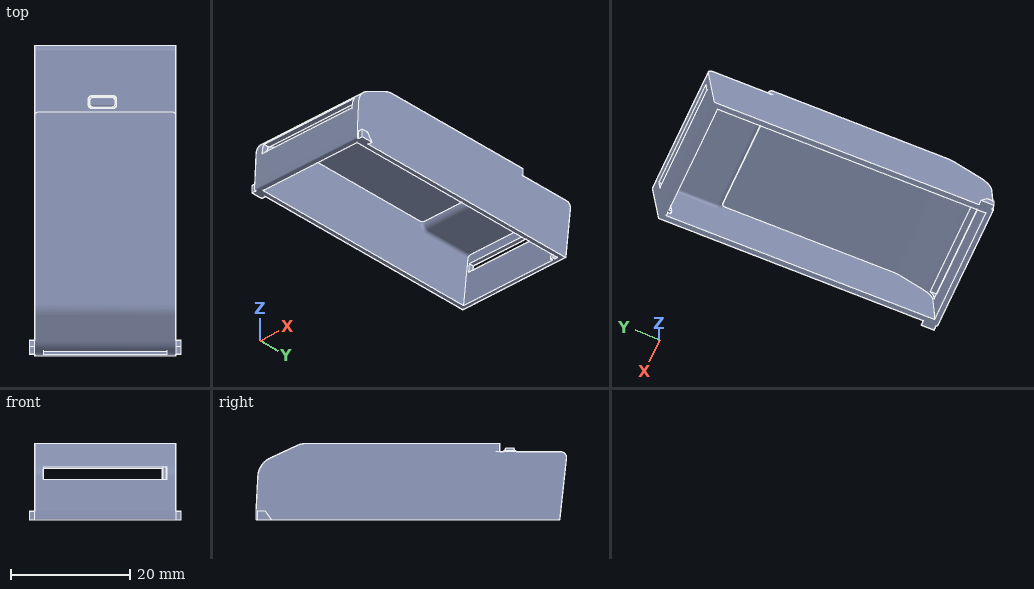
import cadquery as cq
import math

length = 52.15
width = 23.7
height = 12.9
wall = 1.0
embed = wall / 2
front_y = -length / 2
back_y = length / 2

skirt_height = 1.5
front_lean = 3.0
hood_angle = 25.0
hood_start_y = -18.4
hood_top_radius = 4.0
hood_nose_radius = 3.65

deck_height = 11.45
step_y = 14.85
step_corner_radius = 0.6
back_lean = 6.2
back_edge_radius = 1.0
bottom_edge_radius = 0.2

slot_half_width = 10.4
slot_bottom = 6.85
slot_top = 8.9
window_right_x = 9.55
window_top = 8.6

rib_left_x = 9.7
rib_right_x = 10.2
rib_depth = 0.5

button_x = -0.45
button_y = 16.55
button_base_length = 4.8
button_base_width = 2.2
button_base_height = 0.15
button_base_bevel = 0.13
button_base_radius = 0.6
button_cap_margin = 0.3
button_cap_length = button_base_length - 2 * button_cap_margin
button_cap_width = button_base_width - 2 * button_cap_margin
button_cap_height = 0.6
button_cap_radius = 0.45
button_edge_radius = 0.25

tab_span = 25.45
tab_front_y = -25.8
tab_top_back_y = -24.5
tab_bottom_back_y = -23.4


def tangent(angle):
    return math.tan(math.radians(angle))


def side_block(points, span):
    """Extrude a (Y, Z) outline along X, centred on X = 0."""
    return cq.Workplane("YZ").polyline(points).close().extrude(span / 2, both=True)


def box_between(x_range, y_range, z_range):
    """Axis-aligned box from its three coordinate ranges."""
    corners = list(zip(x_range, y_range, z_range))
    sizes = [high - low for low, high in zip(*corners)]
    return cq.Workplane("XY").box(*sizes, centered=False).translate(corners[0])


def edge_at(body, y, z):
    """Edge running along X that passes nearest to the given (Y, Z)."""
    return body.edges("|X").edges(cq.selectors.NearestToPointSelector((0, y, z)))


hood_drop_at_front = (hood_start_y - front_y) * tangent(hood_angle)
lean_factor = 1 - tangent(front_lean) * tangent(hood_angle)
nose_rise = (height - hood_drop_at_front - skirt_height) / lean_factor
nose_y = front_y + nose_rise * tangent(front_lean)
nose_z = skirt_height + nose_rise

back_round_tangent = back_edge_radius * tangent((90 + back_lean) / 2)
back_top_y = back_y - back_edge_radius + back_round_tangent
back_bottom_y = back_top_y - deck_height * tangent(back_lean)


def make_shell():
    """Thin-walled cover, open underneath."""
    body = side_block(
        [
            (front_y, 0),
            (front_y, skirt_height),
            (nose_y, nose_z),
            (hood_start_y, height),
            (step_y, height),
            (step_y, deck_height),
            (back_top_y, deck_height),
            (back_bottom_y, 0),
        ],
        width,
    )
    body = edge_at(body, hood_start_y, height).fillet(hood_top_radius)
    body = edge_at(body, nose_y, nose_z).fillet(hood_nose_radius)
    body = body.faces("<Z").shell(-wall)
    body = edge_at(body, back_top_y, deck_height).fillet(back_edge_radius)
    for edge_y in (front_y, back_bottom_y):
        body = edge_at(body, edge_y, 0).fillet(bottom_edge_radius)
    step_corners = cq.selectors.BoxSelector(
        (-width, step_y - wall, deck_height),
        (width, step_y + wall, height),
    )
    return body.edges("|Z").edges(step_corners).fillet(step_corner_radius)


def make_openings():
    """Front slot and back window, as cutting blocks."""
    front_slot = box_between(
        (-slot_half_width, slot_half_width),
        (front_y, front_y + hood_nose_radius),
        (slot_bottom, slot_top),
    )
    back_window = box_between(
        (-slot_half_width, window_right_x),
        (back_bottom_y - wall, back_y),
        (slot_bottom, window_top),
    )
    return front_slot.union(back_window)


def make_rib():
    """Upright rib that follows the leaning inner face of the back wall."""
    rib_top = deck_height - embed
    rib_back_y = back_bottom_y - wall + embed
    rib_front_y = back_bottom_y - wall - rib_depth
    lean_shift = rib_top * tangent(back_lean)
    outline = [
        (rib_front_y, 0),
        (rib_back_y, 0),
        (rib_back_y + lean_shift, rib_top),
        (rib_front_y + lean_shift, rib_top),
    ]
    rib = side_block(outline, rib_right_x - rib_left_x)
    return rib.translate(((rib_left_x + rib_right_x) / 2, 0, 0))


def make_button():
    """Rounded button on a bevelled base, sunk into the rear deck."""
    seat = cq.Workplane("XY", origin=(button_x, button_y, deck_height - embed))
    base = seat.rect(button_base_length, button_base_width).extrude(embed + button_base_height)
    base = base.edges("|Z").fillet(button_base_radius)
    base = base.faces(">Z").chamfer(button_base_bevel)
    cap = seat.rect(button_cap_length, button_cap_width).extrude(embed + button_cap_height)
    cap = cap.edges("|Z").fillet(button_cap_radius)
    cap = cap.faces(">Z").edges().fillet(button_edge_radius)
    return base.union(cap)


def make_tabs():
    """Wedge-backed tabs on both sides, from the side wall outwards."""
    tabs = side_block(
        [
            (tab_front_y, 0),
            (tab_front_y, skirt_height),
            (tab_top_back_y, skirt_height),
            (tab_bottom_back_y, 0),
        ],
        tab_span,
    )
    inside_x = width / 2 - embed
    inside = box_between((-inside_x, inside_x), (front_y, back_y), (0, height))
    return tabs.cut(inside)


result = make_shell().cut(make_openings())
for addition in (make_rib(), make_button(), make_tabs()):
    result = result.union(addition)